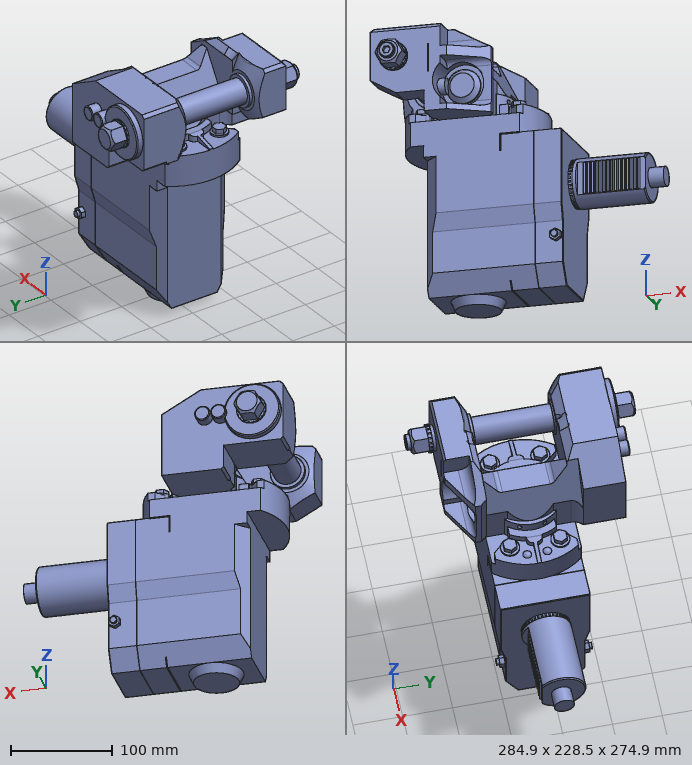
import cadquery as cq
import math


HOUSING_BACK_X = -42.6
HOUSING_END_X = 99.6
HOUSING_HALF_WIDTH = 45.0
HOUSING_TOP_Z = 45.0
HOUSING_BOTTOM_Z = -111.8
WAIST_HALF_WIDTH = 40.0
WAIST_TOP_Z = -48.0
WAIST_BOTTOM_Z = -90.4
TAPER_START_NEAR_Z = -30.2
TAPER_START_FAR_Z = -23.0
WAIST_TOP_FAR_Z = -41.0
BOTTOM_HALF_WIDTH = 27.3
BACK_CHAMFER = 12.9
BACK_CHAMFER_TOP_Z = 28.0
COVER_EDGE_CHAMFER = 0.8
COVER_SEAM_X = 70.5
SEAM_SIZE = 0.3
SLIT_WIDTH = 1.0
UPPER_SLIT_X = 36.2
LOWER_SLIT_X = 42.6
LOWER_SLIT_TOP_Z = -103.0
SLIT_DEPTH = 0.6
CAP_TOP_RADIUS = 27.2
CAP_BOTTOM_RADIUS = 22.8
CAP_BOTTOM_Z = -120.92

NIPPLE_X = 92.5
NIPPLE_Z = -63.0
NIPPLE_HEX_DIAMETER = 12.2
NIPPLE_HEX_END_Y = 45.0
NIPPLE_TIP_RADIUS = 3.3
NIPPLE_TIP_END_Y = 47.9

SHANK_RADIUS = 25.0
SHANK_START_X = 103.8
SHANK_END_X = 177.5
SHANK_CHAMFER = 1.25
NECK_RADIUS = 24.4
NECK_NOTCH_COUNT = 40
NECK_NOTCH_RADIUS = 0.8
NECK_NOTCH_LENGTH = 2.4
FLAT_START_X = 107.5
FLAT_Y = -18.6
TOOTH_TIP_Y = -20.5
TOOTH_HALF_LENGTH = 16.1
TOOTH_COUNT = 15
TOOTH_PITCH = 4.0
TOOTH_HALF_BASE = 1.4
FIRST_TOOTH_X = 114.5
TIP_RADIUS = 10.0
TIP_END_X = 193.24

FLANGE_RADIUS = 72.0
FLANGE_BOTTOM_Z = 40.0
FLANGE_TOP_Z = 65.0
PAD_TOP_Z = 74.5
PAD_HALF_WIDTH = 41.5
PAD_CORNER_X = 51.8
PAD_INNER_X = 40.0
PAD_INNER_Y = 28.7
RING_OUTER_RADIUS = 45.0
RING_TOP_Z = 81.8
RING_HALF_WIDTH = 23.5
RIB_HALF_WIDTH = 2.0
RIB_OUTER_Z = 75.4
RIB_FILLET = 6.0
BOLT_X = 49.2
BOLT_Y = 25.2
BOLT_WASHER_RADIUS = 9.4
BOLT_WASHER_TOP_Z = 76.4
BOLT_HEX_DIAMETER = 14.6
DOME_X = 59.7
DOME_Y = 10.1
DOME_RADIUS = 4.3
DOME_HEIGHT = 2.0

FORK_TOP_Z = 154.0
FORK_BACK_X = 31.5
FORK_FRONT_X = -31.4
WIDE_ARM_X = -91.7
WIDE_ARM_OUTER_Y = 94.6
WIDE_ARM_INNER_Y = 40.5
WIDE_ARM_BOTTOM_Z = 90.5
WIDE_ARM_CHAMFER = 9.0
WIDE_ARM_CORNER_X = 11.2
WIDE_ARM_CORNER_Y = 13.5
LOWER_EDGE_CHAMFER = 2.5
LOWER_EDGE_INNER_Y = 67.5
NARROW_ARM_X = -87.0
NARROW_ARM_OUTER_Y = -78.8
NARROW_ARM_INNER_Y = -44.0
NARROW_ARM_BOTTOM_Z = 86.3
NARROW_ARM_CHAMFER = 6.4
NARROW_ARM_BEVEL_X = -60.6
NARROW_ARM_BEVEL_Z = 101.0
TOP_EDGE_CHAMFER_Y = 2.3
TOP_EDGE_CHAMFER = 3.4
RELIEF_X = -37.5
RELIEF_HALF_WIDTH = 7.0
RELIEF_RADIUS = 16.0
RELIEF_END_RADIUS = 15.2
RELIEF_OFFSET = 13.6
BACK_SLOPE_X = -8.2
BACK_SLOPE_END_Z = 131.5
WEB_TOP_Z = 126.0
WEB_FRONT_X = -9.8
WEB_BACK_X = 15.6
WEB_FRONT_SLOPE = math.tan(math.radians(58.8))
WEB_BACK_SLOPE = math.tan(math.radians(62.5))
WEB_STEEP_END_Y = 52.0
WEB_FLAT_END_Y = (-28.8, 24.7)
VALLEY_FILLET = 7.0
UNDERCUT_X = -26.4
UNDERCUT_HALF_WIDTH = 52.5
UNDERCUT_CORNER = 11.0
UNDERCUT_TOP_Z = 89.5
HUB_RADIUS = 37.3
HUB_TOP_Z = 92.5
HUB_HALF_WIDTH = 26.0
HUB_HOLE_ANGLE = 20.0
HUB_HOLE_Z = 87.2
HUB_HOLE_RADIUS = 2.2
HUB_HOLE_DEPTH = 3.0
NECK_BACK_X = 26.2
NECK_FRONT_X = -27.4
NECK_BLEND_RADIUS = 16.0
NARROW_ROOT_Y = -50.0
BULGE_BACK_X = 33.0
BULGE_HALF_WIDTH = 23.0
BACK_CORNER_X = 30.4
BACK_CORNER_Y = -56.2

RECESS_X = -15.2
STEP_Y = -53.0
STEP_Z = 130.6
STEP_FILLET = 11.0
GROOVE_Y = -55.0
GROOVE_FILLET = 7.0
BORE_X = -0.2
BORE_Z = 95.7
BORE_RADIUS = 22.7
BORE_FLOOR_Y = -47.0
GROOVE_HALF_HEIGHT = 24.7
PLUG_RADIUS = 17.5
PLUG_FACE_RADIUS = 12.5
PLUG_CHAMFER = PLUG_RADIUS - PLUG_FACE_RADIUS
PLUG_HEIGHT = 7.0
PIN_RADIUS = 8.3
ARM_SLIT_X = -27.6
ARM_SLIT_Z = (105.6, 133.6)

BAR_X = -61.5
BAR_Z = 122.5
BAR_RADIUS = 13.8
NUT_HEX_DIAMETER = 28.0
NUT_CHAMFER_DROP = 3.5
WASHER_TOOTH_COUNT = 18
SCREW_X = (-28.6, -12.4)
SCREW_RADIUS = 7.7
SCREW_END_Y = 106.4
SCREW_CHAMFER = 1.0
COLLAR_RADIUS = 17.4
COLLAR_Y = ((NARROW_ARM_INNER_Y, -40.6), (WIDE_ARM_INNER_Y, 39.0))
SPACER_RADIUS = 13.0
SPACER_END_Y = -82.0
NUT_WASHER_RADIUS = 14.2
NUT_START_Y = -86.0
NUT_END_Y = -103.0
STUD_RADIUS = 7.8
STUD_END_Y = -107.5
STUD_CHAMFER = 0.8
SOCKET_DIAMETER = 8.0
SOCKET_DEPTH = 4.0
PLATE_RADIUS = 28.4
PLATE_END_Y = 101.5
PLATE_CHAMFER = 1.2
HEAD_WASHER_RADIUS = 14.8
HEAD_START_Y = 103.5
HEAD_END_Y = 121.0
WASHER_NOTCH_RADIUS = 0.7

REACH = 300.0


def box(x0, x1, y0, y1, z0, z1):
    """Box between two limits along each axis."""
    return cq.Workplane("XY").box(x1 - x0, y1 - y0, z1 - z0, centered=False).translate((x0, y0, z0))


def along_y(radius, x, z, y0, y1):
    """Cylinder parallel to Y."""
    return cq.Workplane("XZ", origin=(x, y0, z)).circle(radius).extrude(y0 - y1)


def along_z(radius, x, y, z0, z1):
    """Cylinder parallel to Z."""
    return cq.Workplane("XY", origin=(x, y, z0)).circle(radius).extrude(z1 - z0)


def along_x(radius, x0, x1, z=0.0):
    """Cylinder parallel to X."""
    return cq.Workplane("YZ", origin=(x0, 0, z)).circle(radius).extrude(x1 - x0)


def prism_y(points, y0, y1):
    """Prism parallel to Y with an XZ outline."""
    return cq.Workplane("XZ", origin=(0, y0, 0)).polyline(points).close().extrude(y0 - y1)


def prism_x(points, x0, x1):
    """Prism parallel to X with a YZ outline."""
    return cq.Workplane("YZ", origin=(x0, 0, 0)).polyline(points).close().extrude(x1 - x0)


def prism_z(points, z0, z1):
    """Prism parallel to Z with an XY outline."""
    return cq.Workplane("XY", origin=(0, 0, z0)).polyline(points).close().extrude(z1 - z0)


def skin_slit(profile, x, width, depth, z0, z1):
    """Thin slit of even depth that follows the outside of an X prism between two heights."""
    core = cq.Workplane("YZ", origin=(x, 0, 0)).polyline(profile).close()
    core = core.offset2D(-depth).extrude(width)
    return box(x, x + width, -REACH, REACH, z0, z1).cut(core)


def make_housing():
    profile = [
        (-HOUSING_HALF_WIDTH, HOUSING_TOP_Z),
        (-HOUSING_HALF_WIDTH, TAPER_START_NEAR_Z),
        (-WAIST_HALF_WIDTH, WAIST_TOP_Z),
        (-WAIST_HALF_WIDTH, WAIST_BOTTOM_Z),
        (-BOTTOM_HALF_WIDTH, HOUSING_BOTTOM_Z),
        (BOTTOM_HALF_WIDTH, HOUSING_BOTTOM_Z),
        (WAIST_HALF_WIDTH, WAIST_BOTTOM_Z),
        (WAIST_HALF_WIDTH, WAIST_TOP_FAR_Z),
        (HOUSING_HALF_WIDTH, TAPER_START_FAR_Z),
        (HOUSING_HALF_WIDTH, HOUSING_TOP_Z),
    ]
    housing = prism_x(profile, HOUSING_BACK_X, HOUSING_END_X)
    housing = housing.faces(">X").edges().chamfer(COVER_EDGE_CHAMFER)
    for side in (-1, 1):
        corner = [
            (HOUSING_BACK_X, side * HOUSING_HALF_WIDTH),
            (HOUSING_BACK_X + BACK_CHAMFER, side * HOUSING_HALF_WIDTH),
            (HOUSING_BACK_X, side * (HOUSING_HALF_WIDTH - BACK_CHAMFER)),
        ]
        housing = housing.cut(prism_z(corner, HOUSING_BOTTOM_Z, BACK_CHAMFER_TOP_Z))

    housing = housing.cut(skin_slit(profile, COVER_SEAM_X, SEAM_SIZE, SEAM_SIZE, -REACH, REACH))
    housing = housing.cut(
        skin_slit(profile, LOWER_SLIT_X, SLIT_WIDTH, SLIT_DEPTH, HOUSING_BOTTOM_Z, LOWER_SLIT_TOP_Z)
    )

    cap = (
        cq.Workplane("XY", origin=(0, 0, HOUSING_BOTTOM_Z))
        .circle(CAP_TOP_RADIUS)
        .workplane(offset=CAP_BOTTOM_Z - HOUSING_BOTTOM_Z)
        .circle(CAP_BOTTOM_RADIUS)
        .loft()
    )
    return housing.union(cap)


def make_nipples():
    nipples = cq.Workplane("XY")
    for side in (-1, 1):
        hexagon = (
            cq.Workplane("XZ", origin=(NIPPLE_X, 0, NIPPLE_Z))
            .polygon(6, NIPPLE_HEX_DIAMETER)
            .extrude(-side * NIPPLE_HEX_END_Y)
            .rotate((NIPPLE_X, 0, NIPPLE_Z), (NIPPLE_X, 1, NIPPLE_Z), 30)
        )
        tip = along_y(NIPPLE_TIP_RADIUS, NIPPLE_X, NIPPLE_Z, 0, side * NIPPLE_TIP_END_Y)
        nipples = nipples.union(hexagon).union(tip)
    return nipples


def make_shank():
    shank = along_x(SHANK_RADIUS, SHANK_START_X, SHANK_END_X).faces(">X").chamfer(SHANK_CHAMFER)
    flat = box(FLAT_START_X, SHANK_END_X, -SHANK_RADIUS, FLAT_Y, -SHANK_RADIUS, SHANK_RADIUS)
    shank = shank.cut(flat)
    for index in range(TOOTH_COUNT):
        x = FIRST_TOOTH_X + index * TOOTH_PITCH
        tooth = [(x - TOOTH_HALF_BASE, FLAT_Y), (x, TOOTH_TIP_Y), (x + TOOTH_HALF_BASE, FLAT_Y)]
        shank = shank.union(prism_z(tooth, -TOOTH_HALF_LENGTH, TOOTH_HALF_LENGTH))
    neck = along_x(NECK_RADIUS, HOUSING_END_X, SHANK_START_X)
    notches = (
        cq.Workplane("YZ", origin=(HOUSING_END_X, 0, 0))
        .polarArray(NECK_RADIUS, 0, 360, NECK_NOTCH_COUNT)
        .circle(NECK_NOTCH_RADIUS)
        .extrude(NECK_NOTCH_LENGTH)
    )
    neck = neck.cut(notches)
    tip = along_x(TIP_RADIUS, SHANK_END_X, TIP_END_X)
    return shank.union(neck).union(tip)


def make_rib():
    """Radial rib that ramps up from the flange rim to the ring, filleted at the ring."""
    wide = RIB_HALF_WIDTH + RIB_FILLET
    outline = (
        cq.Workplane("XY", origin=(0, 0, FLANGE_TOP_Z))
        .moveTo(PAD_INNER_X, -wide)
        .lineTo(RING_OUTER_RADIUS, -wide)
        .radiusArc((RING_OUTER_RADIUS + RIB_FILLET, -RIB_HALF_WIDTH), -RIB_FILLET)
        .lineTo(FLANGE_RADIUS, -RIB_HALF_WIDTH)
        .lineTo(FLANGE_RADIUS, RIB_HALF_WIDTH)
        .lineTo(RING_OUTER_RADIUS + RIB_FILLET, RIB_HALF_WIDTH)
        .radiusArc((RING_OUTER_RADIUS, wide), -RIB_FILLET)
        .lineTo(PAD_INNER_X, wide)
        .close()
        .extrude(RING_TOP_Z - FLANGE_TOP_Z)
    )
    ramp = prism_y(
        [
            (PAD_INNER_X, FLANGE_TOP_Z),
            (FLANGE_RADIUS, FLANGE_TOP_Z),
            (FLANGE_RADIUS, RIB_OUTER_Z),
            (RING_OUTER_RADIUS, RING_TOP_Z),
            (PAD_INNER_X, RING_TOP_Z),
        ],
        -wide,
        wide,
    )
    disc = along_z(FLANGE_RADIUS, 0, 0, FLANGE_TOP_Z, RING_TOP_Z)
    return outline.intersect(ramp).intersect(disc)


def make_flange_side():
    """Bolt pad, ring sector, rib and bolts on the +X half of the flange."""
    disc = along_z(FLANGE_RADIUS, 0, 0, FLANGE_TOP_Z, PAD_TOP_Z)
    pad_outline = [
        (PAD_INNER_X, -PAD_INNER_Y),
        (PAD_CORNER_X, -PAD_HALF_WIDTH),
        (FLANGE_RADIUS, -PAD_HALF_WIDTH),
        (FLANGE_RADIUS, PAD_HALF_WIDTH),
        (PAD_CORNER_X, PAD_HALF_WIDTH),
        (PAD_INNER_X, PAD_INNER_Y),
    ]
    side = disc.intersect(prism_z(pad_outline, FLANGE_TOP_Z, PAD_TOP_Z))
    ring = along_z(RING_OUTER_RADIUS, 0, 0, FLANGE_TOP_Z, RING_TOP_Z)
    sector = box(0, RING_OUTER_RADIUS, -RING_HALF_WIDTH, RING_HALF_WIDTH, FLANGE_TOP_Z, RING_TOP_Z)
    side = side.union(ring.intersect(sector)).union(make_rib())
    for y in (-BOLT_Y, BOLT_Y):
        washer = along_z(BOLT_WASHER_RADIUS, BOLT_X, y, FLANGE_TOP_Z, BOLT_WASHER_TOP_Z)
        head = (
            cq.Workplane("XY", origin=(BOLT_X, y, FLANGE_TOP_Z))
            .polygon(6, BOLT_HEX_DIAMETER)
            .extrude(RING_TOP_Z - FLANGE_TOP_Z)
        )
        side = side.union(washer).union(head)
    return side


def make_domes():
    sphere_radius = (DOME_RADIUS**2 + DOME_HEIGHT**2) / (2 * DOME_HEIGHT)
    domes = cq.Workplane("XY")
    for y in (-DOME_Y, DOME_Y):
        ball = cq.Workplane("XY").sphere(sphere_radius)
        ball = ball.translate((DOME_X, y, PAD_TOP_Z + DOME_HEIGHT - sphere_radius))
        domes = domes.union(ball.intersect(along_z(DOME_RADIUS, DOME_X, y, FLANGE_TOP_Z, REACH)))
    return domes


def make_flange():
    disc = along_z(FLANGE_RADIUS, 0, 0, FLANGE_BOTTOM_Z, FLANGE_TOP_Z)
    flange = disc.intersect(
        box(-REACH, REACH, -HOUSING_HALF_WIDTH, HOUSING_HALF_WIDTH, FLANGE_BOTTOM_Z, FLANGE_TOP_Z)
    )
    side = make_flange_side()
    flange = flange.union(side).union(side.mirror("YZ"))
    return flange.union(make_domes())


def steep_back_x(z):
    """X of the steep back side of the web at height z."""
    return WEB_BACK_X + (WEB_TOP_Z - z) / WEB_BACK_SLOPE


def steep_front_x(z):
    """X of the steep front side of the web at height z."""
    return WEB_FRONT_X - (WEB_TOP_Z - z) / WEB_FRONT_SLOPE


def make_front_undercut():
    """Recess under the web, between the two arm roots, with rounded corners."""
    corner = UNDERCUT_CORNER
    near_y = -UNDERCUT_HALF_WIDTH
    far_y = UNDERCUT_HALF_WIDTH
    return (
        cq.Workplane("XY", origin=(0, 0, FLANGE_TOP_Z))
        .moveTo(FORK_FRONT_X, near_y)
        .radiusArc((UNDERCUT_X, near_y + corner), -corner)
        .lineTo(UNDERCUT_X, far_y - corner)
        .radiusArc((FORK_FRONT_X, far_y), -corner)
        .close()
        .extrude(UNDERCUT_TOP_Z - FLANGE_TOP_Z)
    )


def make_fork_core():
    """Base block, the two arm roots and the web between them."""
    notch_y = (RING_HALF_WIDTH + WIDE_ARM_INNER_Y) / 2
    core = (
        cq.Workplane("XY", origin=(0, 0, FLANGE_TOP_Z))
        .moveTo(FORK_BACK_X, WIDE_ARM_OUTER_Y)
        .lineTo(FORK_BACK_X, WEB_STEEP_END_Y)
        .radiusArc((NECK_BACK_X, WIDE_ARM_INNER_Y), -NECK_BLEND_RADIUS)
        .lineTo(NECK_BACK_X, BULGE_HALF_WIDTH)
        .threePointArc((BULGE_BACK_X, 0), (NECK_BACK_X, -BULGE_HALF_WIDTH))
        .lineTo(NECK_BACK_X, NARROW_ARM_INNER_Y)
        .radiusArc((BACK_CORNER_X, NARROW_ROOT_Y), -NECK_BLEND_RADIUS)
        .lineTo(BACK_CORNER_X, BACK_CORNER_Y)
        .lineTo(BACK_SLOPE_X, NARROW_ARM_OUTER_Y)
        .lineTo(FORK_FRONT_X, NARROW_ARM_OUTER_Y)
        .lineTo(FORK_FRONT_X, RING_HALF_WIDTH)
        .threePointArc((NECK_FRONT_X, notch_y), (FORK_FRONT_X, WIDE_ARM_INNER_Y))
        .lineTo(FORK_FRONT_X, WIDE_ARM_OUTER_Y)
        .close()
        .extrude(FORK_TOP_Z - FLANGE_TOP_Z)
    )
    high_z = FORK_TOP_Z + 1
    back_slope = [
        (BACK_SLOPE_X, FORK_TOP_Z),
        (FORK_BACK_X, BACK_SLOPE_END_Z),
        (FORK_BACK_X, high_z),
        (BACK_SLOPE_X, high_z),
    ]
    core = core.cut(prism_y(back_slope, -REACH, REACH))

    steep_back = [
        (steep_back_x(FLANGE_TOP_Z), FLANGE_TOP_Z),
        (steep_back_x(high_z), high_z),
        (REACH, high_z),
        (REACH, FLANGE_TOP_Z),
    ]
    core = core.cut(prism_y(steep_back, NARROW_ARM_INNER_Y, WEB_STEEP_END_Y))

    core = core.cut(make_front_undercut())
    hub = along_z(HUB_RADIUS, 0, 0, FLANGE_TOP_Z, HUB_TOP_Z)
    hub = hub.intersect(
        box(-REACH, REACH, -HUB_HALF_WIDTH, HUB_HALF_WIDTH, FLANGE_TOP_Z, HUB_TOP_Z)
    )
    core = core.union(hub)
    for angle in (-HUB_HOLE_ANGLE, HUB_HOLE_ANGLE):
        hole = along_x(HUB_HOLE_RADIUS, HUB_RADIUS - HUB_HOLE_DEPTH, HUB_RADIUS, HUB_HOLE_Z)
        core = core.cut(hole.rotate((0, 0, 0), (0, 0, 1), angle))

    steep_front = [
        (steep_front_x(FLANGE_TOP_Z), FLANGE_TOP_Z),
        (steep_front_x(high_z), high_z),
        (-REACH, high_z),
        (-REACH, FLANGE_TOP_Z),
    ]
    core = core.cut(prism_y(steep_front, NARROW_ARM_INNER_Y, WIDE_ARM_INNER_Y))

    near_flat, far_flat = WEB_FLAT_END_Y
    valley = [
        (near_flat, WEB_TOP_Z),
        (far_flat, WEB_TOP_Z),
        (WIDE_ARM_INNER_Y, WEB_TOP_Z + WIDE_ARM_INNER_Y - far_flat),
        (WIDE_ARM_INNER_Y, high_z),
        (NARROW_ARM_INNER_Y, high_z),
        (NARROW_ARM_INNER_Y, WEB_TOP_Z + near_flat - NARROW_ARM_INNER_Y),
    ]
    valley_cutter = prism_x(valley, -REACH, REACH)
    bottom_edges = cq.selectors.BoxSelector(
        (-1, near_flat - 1, WEB_TOP_Z - 1), (1, far_flat + 1, WEB_TOP_Z + 1)
    )
    valley_cutter = valley_cutter.edges(bottom_edges).edges("|X").fillet(VALLEY_FILLET)
    return core.cut(valley_cutter)


def nose_cutter(inner_y, side, base_radius, rise):
    """Everything outside a cone about the bar axis, used to round the inner nose of an arm."""
    depth = 20.0
    outer = 80.0
    cone_end = base_radius + depth / rise
    return (
        cq.Workplane("XY")
        .moveTo(base_radius, inner_y)
        .lineTo(cone_end, inner_y + side * depth)
        .lineTo(outer, inner_y + side * depth)
        .lineTo(outer, inner_y)
        .close()
        .revolve(360, (0, 0, 0), (0, 1, 0))
        .translate((BAR_X, 0, BAR_Z))
        .intersect(box(-REACH, RELIEF_X - RELIEF_HALF_WIDTH, -REACH, REACH, -REACH, REACH))
    )


def trim_inner_top(arm, inner_y, side, chamfer, start_x):
    """Chamfer the inner top edge and cut the conical relief at the root of the arm."""
    lean = math.sqrt(0.5)
    edge = [
        (inner_y, FORK_TOP_Z - chamfer),
        (inner_y + side * chamfer, FORK_TOP_Z),
        (inner_y, FORK_TOP_Z),
    ]
    arm = arm.cut(prism_x(edge, start_x, FORK_BACK_X))
    start_y = inner_y + side * (chamfer - RELIEF_OFFSET * lean)
    relief = cq.Solid.makeCone(
        RELIEF_RADIUS,
        RELIEF_END_RADIUS,
        chamfer / lean,
        cq.Vector(RELIEF_X, start_y, FORK_TOP_Z + RELIEF_OFFSET * lean),
        cq.Vector(0, -side * lean, -lean),
    )
    return arm.cut(cq.Workplane(obj=relief))


def make_wide_arm():
    cone_radius = 25.0
    cone_rise = 0.75
    arm = box(WIDE_ARM_X, FORK_FRONT_X, WIDE_ARM_INNER_Y, WIDE_ARM_OUTER_Y, WIDE_ARM_BOTTOM_Z, FORK_TOP_Z)
    arm = arm.edges("<X and >Z").chamfer(TOP_EDGE_CHAMFER)

    nose = nose_cutter(WIDE_ARM_INNER_Y, 1, cone_radius, cone_rise)
    corner_x = WIDE_ARM_X + WIDE_ARM_CORNER_X
    corner_y = WIDE_ARM_INNER_Y + WIDE_ARM_CORNER_Y
    corner = prism_z(
        [(WIDE_ARM_X, WIDE_ARM_INNER_Y), (corner_x, WIDE_ARM_INNER_Y), (WIDE_ARM_X, corner_y)],
        WIDE_ARM_BOTTOM_Z,
        BAR_Z,
    )
    upper = box(-REACH, REACH, -REACH, REACH, BAR_Z, REACH)
    return arm.cut(nose.intersect(corner)).cut(nose.intersect(upper))


def make_narrow_arm():
    cone_radius = 21.0
    cone_rise = 0.55
    outline = [
        (NARROW_ARM_X, NARROW_ARM_BEVEL_Z),
        (NARROW_ARM_BEVEL_X, NARROW_ARM_BOTTOM_Z),
        (FORK_FRONT_X, NARROW_ARM_BOTTOM_Z),
        (FORK_FRONT_X, FORK_TOP_Z),
        (NARROW_ARM_X, FORK_TOP_Z),
    ]
    arm = prism_y(outline, NARROW_ARM_OUTER_Y, NARROW_ARM_INNER_Y)
    arm = arm.edges("<X and >Z").chamfer(TOP_EDGE_CHAMFER)
    return arm.cut(nose_cutter(NARROW_ARM_INNER_Y, -1, cone_radius, cone_rise))


def cut_narrow_arm_recesses(fork):
    """Outer top bevel, lowered step, horizontal groove, bore with plug, and the marking slit."""
    bevel = [
        (NARROW_ARM_OUTER_Y, FORK_TOP_Z - TOP_EDGE_CHAMFER),
        (NARROW_ARM_OUTER_Y + TOP_EDGE_CHAMFER_Y, FORK_TOP_Z),
        (NARROW_ARM_OUTER_Y, FORK_TOP_Z),
    ]
    fork = fork.cut(prism_x(bevel, NARROW_ARM_X, RECESS_X))

    step = box(RECESS_X, REACH, -REACH, STEP_Y, STEP_Z, REACH)
    fork = fork.cut(step.edges("|X and >Y and <Z").fillet(STEP_FILLET))

    groove = box(RECESS_X, REACH, -REACH, GROOVE_Y,
                 BORE_Z - GROOVE_HALF_HEIGHT, BORE_Z + GROOVE_HALF_HEIGHT)
    fork = fork.cut(groove.edges("|X and >Y").fillet(GROOVE_FILLET))

    fork = fork.cut(along_y(BORE_RADIUS, BORE_X, BORE_Z, NARROW_ARM_OUTER_Y, BORE_FLOOR_Y))
    plug = along_y(PLUG_RADIUS, BORE_X, BORE_Z, BORE_FLOOR_Y, BORE_FLOOR_Y - PLUG_HEIGHT)
    fork = fork.union(plug.faces("<Y").chamfer(PLUG_CHAMFER))
    pin = along_x(PIN_RADIUS, BORE_X - BORE_RADIUS, RECESS_X, BORE_Z).translate((0, GROOVE_Y, 0))
    fork = fork.union(pin)

    slit_bottom, slit_top = ARM_SLIT_Z
    slit = box(ARM_SLIT_X - SLIT_WIDTH / 2, ARM_SLIT_X + SLIT_WIDTH / 2,
               NARROW_ARM_OUTER_Y, NARROW_ARM_OUTER_Y + SLIT_DEPTH, slit_bottom, slit_top)
    return fork.cut(slit)


def make_cover_slits():
    """L-shaped slits on both sides that mark the corner of the cover beside the flange."""
    slits = cq.Workplane("XY")
    end_x = math.sqrt(FLANGE_RADIUS**2 - HOUSING_HALF_WIDTH**2)
    half = SLIT_WIDTH / 2
    left_x = UPPER_SLIT_X - half
    for side in (-1, 1):
        outer_y = side * HOUSING_HALF_WIDTH
        inner_y = side * (HOUSING_HALF_WIDTH - SLIT_DEPTH)
        y0 = min(outer_y, inner_y)
        y1 = max(outer_y, inner_y)
        upright = box(left_x, left_x + SLIT_WIDTH, y0, y1, BACK_CHAMFER_TOP_Z, HOUSING_TOP_Z + half)
        level = box(left_x, end_x, y0, y1, HOUSING_TOP_Z - half, HOUSING_TOP_Z + half)
        slits = slits.union(upright).union(level)
    return slits


def make_fork():
    fork = make_fork_core().union(make_wide_arm()).union(make_narrow_arm())
    fork = trim_inner_top(fork, WIDE_ARM_INNER_Y, 1, WIDE_ARM_CHAMFER, WIDE_ARM_X)
    fork = trim_inner_top(fork, NARROW_ARM_INNER_Y, -1, NARROW_ARM_CHAMFER, NARROW_ARM_X)
    for x, z in ((WIDE_ARM_X, WIDE_ARM_BOTTOM_Z), (FORK_FRONT_X, FLANGE_TOP_Z)):
        edge = [(x, z), (x + LOWER_EDGE_CHAMFER, z), (x, z + LOWER_EDGE_CHAMFER)]
        fork = fork.cut(prism_y(edge, LOWER_EDGE_INNER_Y, WIDE_ARM_OUTER_Y))
    return cut_narrow_arm_recesses(fork)


def bar_disc(radius, y0, y1):
    """Disc coaxial with the cross bar."""
    return along_y(radius, BAR_X, BAR_Z, y0, y1)


def bar_hex(inner_y, outer_y):
    """Hexagon head on the bar axis with its outer corners turned off at 45 degrees."""
    head = cq.Workplane("XZ", origin=(BAR_X, inner_y, BAR_Z)).polygon(6, NUT_HEX_DIAMETER)
    head = head.extrude(inner_y - outer_y)
    turned = bar_disc(NUT_HEX_DIAMETER / 2, inner_y, outer_y)
    outer_face = "<Y" if outer_y < inner_y else ">Y"
    return head.intersect(turned.faces(outer_face).chamfer(NUT_CHAMFER_DROP))


def toothed_washer(radius, y0, y1):
    """Washer on the bar axis with notches around its rim."""
    washer = bar_disc(radius, y0, y1)
    notches = (
        cq.Workplane("XZ", origin=(BAR_X, y0, BAR_Z))
        .polarArray(radius, 0, 360, WASHER_TOOTH_COUNT)
        .circle(WASHER_NOTCH_RADIUS)
        .extrude(y0 - y1)
    )
    return washer.cut(notches)


def make_bar_nut_end():
    """Spacer, toothed washer, nut and stud with hexagon socket outside the narrow arm."""
    end = bar_disc(SPACER_RADIUS, NARROW_ARM_OUTER_Y, SPACER_END_Y)
    end = end.union(toothed_washer(NUT_WASHER_RADIUS, SPACER_END_Y, NUT_START_Y))
    end = end.union(bar_hex(NUT_START_Y, NUT_END_Y))
    end = end.union(bar_disc(STUD_RADIUS, NUT_END_Y, STUD_END_Y).faces("<Y").chamfer(STUD_CHAMFER))
    socket = cq.Workplane("XZ", origin=(BAR_X, STUD_END_Y, BAR_Z)).polygon(6, SOCKET_DIAMETER)
    return end.cut(socket.extrude(-SOCKET_DEPTH))


def make_bar_bolt_end():
    """Cover plate, toothed washer, bolt head and the two plate screws outside the wide arm."""
    plate = bar_disc(PLATE_RADIUS, WIDE_ARM_OUTER_Y, PLATE_END_Y)
    end = plate.faces(">Y").chamfer(PLATE_CHAMFER)
    end = end.union(toothed_washer(HEAD_WASHER_RADIUS, PLATE_END_Y, HEAD_START_Y))
    end = end.union(bar_hex(HEAD_START_Y, HEAD_END_Y))
    for x in SCREW_X:
        screw = along_y(SCREW_RADIUS, x, BAR_Z, WIDE_ARM_OUTER_Y, SCREW_END_Y)
        end = end.union(screw.faces(">Y").chamfer(SCREW_CHAMFER))
    return end


def make_cross_bar():
    bar = bar_disc(BAR_RADIUS, NARROW_ARM_INNER_Y, WIDE_ARM_INNER_Y)
    for inner_y, collar_y in COLLAR_Y:
        bar = bar.union(bar_disc(COLLAR_RADIUS, inner_y, collar_y))
    return bar.union(make_bar_nut_end()).union(make_bar_bolt_end())


result = (
    make_housing()
    .union(make_nipples())
    .union(make_shank())
    .union(make_flange())
    .cut(make_cover_slits())
    .union(make_fork())
    .union(make_cross_bar())
)